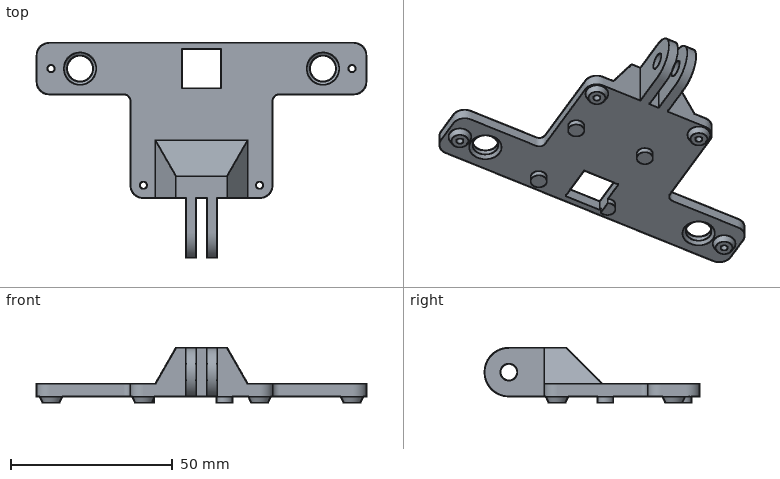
import cadquery as cq

arm_length = 102.0
arm_width = 16.0
body_width = 44.0
plate_depth = 48.0
plate_thickness = 4.0
corner_radius = 4.0
inner_corner_radius = 2.0
arm_center_y = plate_depth - arm_width / 2

window_side = 12.0
port_diameter = 8.0
port_chamfer = 1.0
port_x = 37.5

screw_diameter = 2.1
foot_base_diameter = 7.0
foot_tip_diameter = 5.2
arm_screw_x = 46.5
body_screw_x = 18.0
body_screw_y = 4.0

foot_height = 1.9
pin_diameter = 5.0
pin_spacing = 24.2
pin_pattern_x = -5.0
pin_pattern_y = 31.0

total_height = 17.0
block_base_width = 28.6
block_top_width = 15.8
block_base_depth = 18.0
block_top = total_height - foot_height
block_top_depth = block_base_depth - (block_top - plate_thickness)

lug_thickness = 3.2
lug_gap = 3.3
lug_reach = 18.5
lug_radius = block_top / 2
lug_bore_diameter = 5.1

arm_screw_points = [(side * arm_screw_x, arm_center_y) for side in (-1, 1)]
body_screw_points = [(side * body_screw_x, body_screw_y) for side in (-1, 1)]
screw_points = arm_screw_points + body_screw_points


def make_plate():
    arm = (
        cq.Workplane("XY")
        .center(0, arm_center_y)
        .rect(arm_length, arm_width)
        .extrude(plate_thickness)
        .edges("|Z")
        .fillet(corner_radius)
    )
    body = (
        cq.Workplane("XY")
        .center(0, plate_depth / 2)
        .rect(body_width, plate_depth)
        .extrude(plate_thickness)
        .edges("|Z and <Y")
        .fillet(corner_radius)
    )
    plate = arm.union(body).clean()
    margin = inner_corner_radius / 2
    reach = body_width / 2 + margin
    corner_zone = cq.selectors.BoxSelector(
        (-reach, plate_depth - arm_width - margin, -margin),
        (reach, plate_depth - arm_width + margin, plate_thickness + margin),
    )
    return plate.edges("|Z").edges(corner_zone).fillet(inner_corner_radius)


def make_block():
    side_profile = (
        cq.Workplane("YZ")
        .moveTo(0, 0)
        .lineTo(block_base_depth, 0)
        .lineTo(block_base_depth, plate_thickness)
        .lineTo(block_top_depth, block_top)
        .lineTo(0, block_top)
        .close()
        .extrude(block_base_width / 2, both=True)
    )
    front_profile = (
        cq.Workplane("XZ")
        .moveTo(-block_base_width / 2, 0)
        .lineTo(block_base_width / 2, 0)
        .lineTo(block_base_width / 2, plate_thickness)
        .lineTo(block_top_width / 2, block_top)
        .lineTo(-block_top_width / 2, block_top)
        .lineTo(-block_base_width / 2, plate_thickness)
        .close()
        .extrude(-block_base_depth)
    )
    return side_profile.intersect(front_profile)


def make_lugs():
    bore_y = lug_radius - lug_reach
    pair_width = 2 * lug_thickness + lug_gap
    lugs = (
        cq.Workplane("YZ")
        .moveTo(0, 0)
        .lineTo(bore_y, 0)
        .threePointArc((-lug_reach, lug_radius), (bore_y, block_top))
        .lineTo(0, block_top)
        .close()
        .extrude(pair_width / 2, both=True)
    )
    bore = (
        cq.Workplane("YZ")
        .center(bore_y, lug_radius)
        .circle(lug_bore_diameter / 2)
        .extrude(pair_width, both=True)
    )
    gap = cq.Workplane("XY").center(0, -lug_reach / 2).rect(lug_gap, lug_reach).extrude(block_top)
    return lugs.cut(bore).cut(gap)


def make_feet():
    foot = (
        cq.Workplane("XY")
        .circle(foot_base_diameter / 2)
        .workplane(offset=-foot_height)
        .circle(foot_tip_diameter / 2)
        .loft()
        .val()
    )
    return cq.Workplane("XY").pushPoints(screw_points).eachpoint(lambda place: foot.moved(place))


def make_pins():
    return (
        cq.Workplane("XY")
        .center(pin_pattern_x, pin_pattern_y)
        .rarray(pin_spacing, pin_spacing, 2, 2)
        .circle(pin_diameter / 2)
        .extrude(-foot_height)
    )


def make_through_cuts():
    bottom = cq.Workplane("XY").workplane(offset=-foot_height)
    cut_height = foot_height + plate_thickness
    window = bottom.center(0, arm_center_y).rect(window_side, window_side).extrude(cut_height)
    screws = bottom.pushPoints(screw_points).circle(screw_diameter / 2).extrude(cut_height)
    return window.union(screws)


def make_port(x):
    radius = port_diameter / 2
    flare_radius = radius + port_chamfer
    return (
        cq.Workplane("XZ")
        .lineTo(flare_radius, 0)
        .lineTo(radius, port_chamfer)
        .lineTo(radius, plate_thickness - port_chamfer)
        .lineTo(flare_radius, plate_thickness)
        .lineTo(0, plate_thickness)
        .close()
        .revolve(360, (0, 0), (0, 1))
        .translate((x, arm_center_y, 0))
    )


result = make_plate().union(make_block()).union(make_lugs()).union(make_feet()).union(make_pins())
result = result.cut(make_through_cuts())
for port_side in (-1, 1):
    result = result.cut(make_port(port_side * port_x))